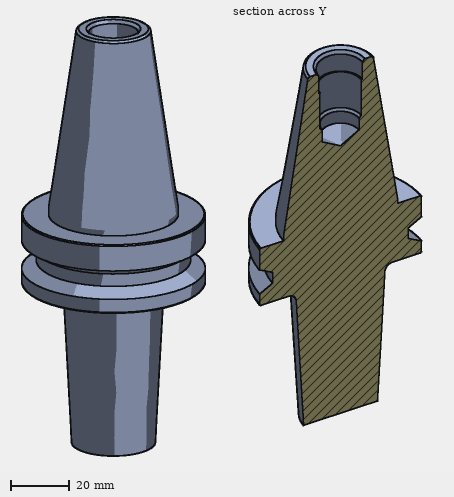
import cadquery as cq
import math

total_height = 150.4
gauge_height = 85.0

shank_radius = 22.3
taper_ratio = 7 / 24
shank_end_radius = shank_radius - (total_height - gauge_height) * taper_ratio / 2
shank_chamfer = 0.8

flange_radius = 31.51
flange_top = 83.0
flange_bottom = 58.0
flange_chamfer = 0.5
groove_center = 68.5
groove_floor_radius = 26.5
groove_floor_width = 4.5
groove_side_angle = 30
groove_rise = (flange_radius - groove_floor_radius) * math.tan(math.radians(groove_side_angle))
floor_half = groove_floor_width / 2
mouth_half = floor_half + groove_rise

nose_radius = 14.5
nose_angle = 3
nose_fillet = 3.0
nose_top_radius = nose_radius + flange_bottom * math.tan(math.radians(nose_angle))

mouth_radius = 9.3
mouth_depth = 1.2
bore_radius = 8.4
bore_depth = 8.5
inner_radius = 8.0
step_radius = 7.0
inner_depth = 24.0
step_depth = 30.1
drill_point_angle = 118
point_depth = step_radius / math.tan(math.radians(drill_point_angle / 2))


def revolve(points):
    """Turn an (r, z) outline around the Z axis."""
    return cq.Workplane("XZ").polyline(points).close().revolve(360, (0, 0), (0, 1))


def make_shank():
    shank = revolve([
        (0, flange_bottom),
        (shank_radius, flange_bottom),
        (shank_radius, gauge_height),
        (shank_end_radius, total_height),
        (0, total_height),
    ])
    return shank.faces(">Z").edges().chamfer(shank_chamfer)


def make_flange_and_nose():
    flange = cq.Workplane("XY", origin=(0, 0, flange_bottom))
    flange = flange.circle(flange_radius).extrude(flange_top - flange_bottom)
    flange = flange.faces("<Z or >Z").edges().chamfer(flange_chamfer)
    nose = revolve([
        (0, 0),
        (nose_radius, 0),
        (nose_top_radius, flange_bottom),
        (0, flange_bottom),
    ])
    body = flange.union(nose)
    joint = cq.selectors.RadiusNthSelector(1)
    return body.edges(joint).fillet(nose_fillet)


def make_groove():
    return revolve([
        (groove_floor_radius, groove_center - floor_half),
        (flange_radius, groove_center - mouth_half),
        (flange_radius, groove_center + mouth_half),
        (groove_floor_radius, groove_center + floor_half),
    ])


def make_hole():
    return revolve([
        (0, total_height),
        (mouth_radius, total_height),
        (bore_radius, total_height - mouth_depth),
        (bore_radius, total_height - bore_depth),
        (inner_radius, total_height - bore_depth),
        (inner_radius, total_height - inner_depth),
        (step_radius, total_height - inner_depth - (inner_radius - step_radius)),
        (step_radius, total_height - step_depth),
        (0, total_height - step_depth - point_depth),
    ])


result = make_flange_and_nose().union(make_shank()).cut(make_groove()).cut(make_hole())